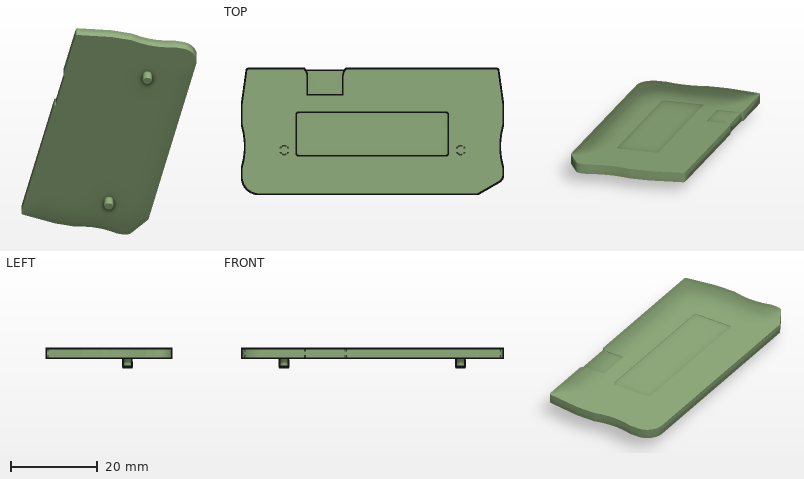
import cadquery as cq
import math

length = 60.3
width = 29.0
thickness = 2.3
total_height = 4.4

top_inset = 1.15
taper_start_y = 20.75
top_corner_radius = 0.5
scallop_top_y = 16.05
scallop_bottom_y = 6.1
scallop_depth = 0.7

left_corner_radius = 4.05
bevel_start_x = 54.4
bevel_angle = 30.0
bevel_start_radius = 0.7
bevel_end_radius = 2.0

recess_center = (30.1, 13.9)
recess_length = 35.05
recess_width = 10.0
recess_corner_radius = 0.6
recess_depth = 0.1

notch_center_x = 19.25
notch_half_width = 4.1
notch_mouth_half_width = 4.8
notch_length = 6.0
notch_flare_length = 1.8
notch_depth = 0.1
notch_setback = 0.35

peg_spacing = 40.65
peg_mid_x = 30.1
peg_y = 10.25
peg_root_radius = 1.0
peg_lip_radius = 1.1
peg_tip_radius = 0.95
peg_tip_height = 0.3


def make_plate():
    scallop_mid_y = (scallop_top_y + scallop_bottom_y) / 2
    bevel_end_y = (length - bevel_start_x) * math.tan(math.radians(bevel_angle))
    plate = (
        cq.Workplane("XY")
        .lineTo(bevel_start_x, 0)
        .lineTo(length, bevel_end_y)
        .lineTo(length, scallop_bottom_y)
        .threePointArc((length - scallop_depth, scallop_mid_y), (length, scallop_top_y))
        .lineTo(length, taper_start_y)
        .lineTo(length - top_inset, width)
        .lineTo(top_inset, width)
        .lineTo(0, taper_start_y)
        .lineTo(0, scallop_top_y)
        .threePointArc((scallop_depth, scallop_mid_y), (0, scallop_bottom_y))
        .close()
        .extrude(thickness)
    )
    rounded_corners = [
        (0, 0, left_corner_radius),
        (bevel_start_x, 0, bevel_start_radius),
        (length, bevel_end_y, bevel_end_radius),
        (top_inset, width, top_corner_radius),
        (length - top_inset, width, top_corner_radius),
    ]
    for x, y, radius in rounded_corners:
        corner = cq.selectors.NearestToPointSelector((x, y, thickness / 2))
        plate = plate.edges("|Z").edges(corner).fillet(radius)
    return plate


def make_label_recess():
    return (
        cq.Workplane("XY", origin=(*recess_center, thickness - recess_depth))
        .rect(recess_length, recess_width)
        .extrude(recess_depth)
        .edges("|Z")
        .fillet(recess_corner_radius)
    )


def make_notch():
    flare_y = width - notch_flare_length
    flare_growth = notch_mouth_half_width - notch_half_width
    flare_radius = (flare_growth**2 + notch_flare_length**2) / (2 * flare_growth)
    pocket = (
        cq.Workplane("XY", origin=(notch_center_x, 0, 0))
        .moveTo(-notch_half_width, flare_y)
        .lineTo(-notch_half_width, width - notch_length)
        .lineTo(notch_half_width, width - notch_length)
        .lineTo(notch_half_width, flare_y)
        .tangentArcPoint((flare_growth, notch_flare_length))
        .lineTo(-notch_mouth_half_width, width)
        .radiusArc((-notch_half_width, flare_y), flare_radius)
        .close()
        .extrude(thickness)
    )
    floor_block = cq.Workplane("XY").box(
        length, width - notch_setback, thickness - notch_depth, centered=False
    )
    return pocket.cut(floor_block)


def make_peg(x):
    tip_z = thickness - total_height
    lip_z = tip_z + peg_tip_height
    return (
        cq.Workplane("XZ")
        .moveTo(0, 0)
        .lineTo(peg_root_radius, 0)
        .lineTo(peg_lip_radius, lip_z)
        .lineTo(peg_tip_radius, tip_z)
        .lineTo(0, tip_z)
        .close()
        .revolve(360, (0, 0), (0, 1))
        .translate((x, peg_y, 0))
    )


result = make_plate().cut(make_label_recess()).cut(make_notch())
for side in (-1, 1):
    result = result.union(make_peg(peg_mid_x + side * peg_spacing / 2))